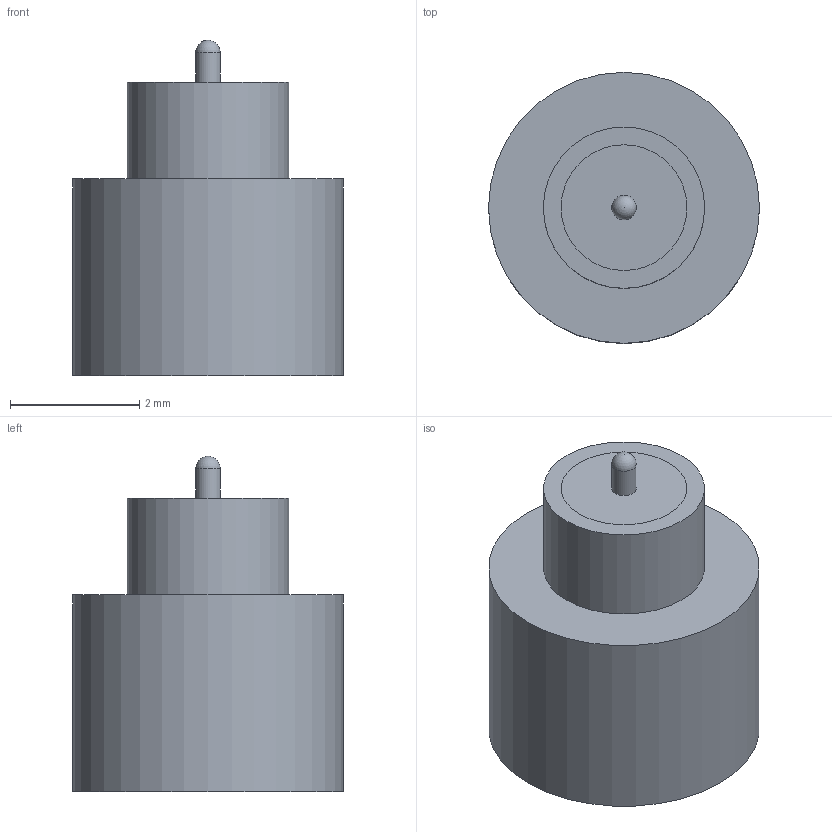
import cadquery as cq
import math

BODY_DIAMETER = 4.2
COLLAR_DIAMETER = 2.5
INSULATOR_DIAMETER = 1.95
PIN_DIAMETER = 0.38

TOTAL_HEIGHT = 5.2
BODY_HEIGHT = 3.05
COLLAR_HEIGHT = 1.5

body_radius = BODY_DIAMETER / 2
collar_radius = COLLAR_DIAMETER / 2
insulator_radius = INSULATOR_DIAMETER / 2
pin_radius = PIN_DIAMETER / 2

collar_top = BODY_HEIGHT + COLLAR_HEIGHT
dome_base = TOTAL_HEIGHT - pin_radius
dome_mid_offset = pin_radius * math.sqrt(0.5)


def half_profile():
    """Half section on the -X side of the axis, from the bottom centre up to the pin tip."""
    return (
        cq.Workplane("XZ")
        .moveTo(0, 0)
        .lineTo(-body_radius, 0)
        .lineTo(-body_radius, BODY_HEIGHT)
        .lineTo(-collar_radius, BODY_HEIGHT)
        .lineTo(-collar_radius, collar_top)
        .lineTo(-insulator_radius, collar_top)
        .lineTo(-pin_radius, collar_top)
        .lineTo(-pin_radius, dome_base)
        .threePointArc((-dome_mid_offset, dome_base + dome_mid_offset), (0, TOTAL_HEIGHT))
        .close()
    )


result = half_profile().revolve(360, (0, 0), (0, 1), clean=False)